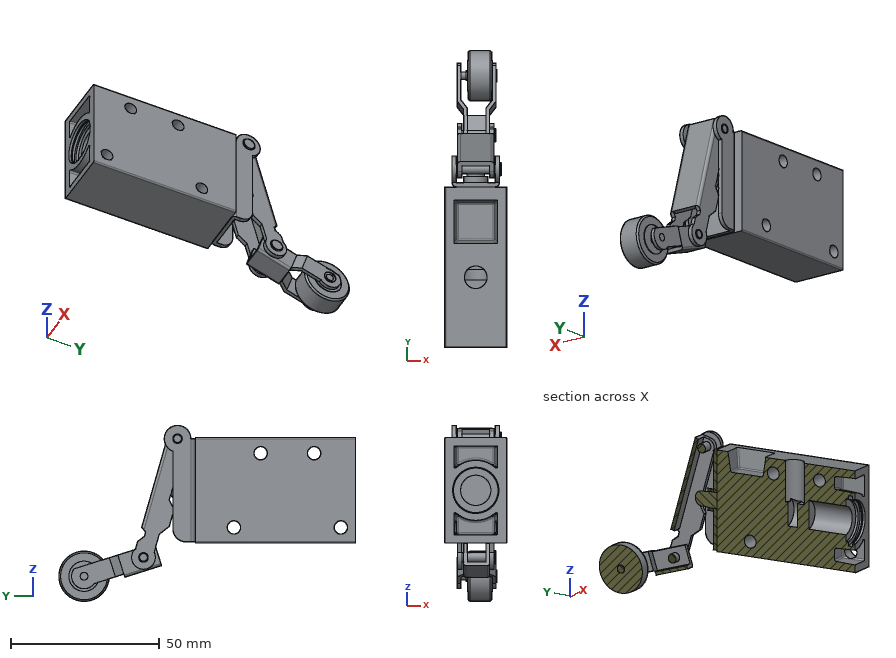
import cadquery as cq
import math


housing_width = 21.0
housing_length = 54.0
housing_height = 35.6
edge_radius = 0.5

bore_radius = 5.1
bore_depth = 18.0
mouth_radius = 7.8
mouth_depth = 0.9
seat_radius = 7.5
seat_depth = 3.5
groove_radius = 8.8
groove_start = 1.2
groove_width = 1.4

pocket_half_width = 7.4
front_pocket_depth = 8.0
top_pocket_depth = 7.0
pocket_side_inset = 1.1
pocket_wall_inset = 0.3
pocket_fillet = 0.5
front_pocket_edge = 15.0
bore_wall_radius = 10.1
top_pocket_center = 42.3
top_pocket_length = 14.6

port_radius = 3.8
port_center = 23.6
port_floor = 3.3
chamber_start = 22.6
chamber_length = 3.6

screw_radius = 2.2
screw_height = 12.5
screw_places = [
    (14.0, screw_height),
    (32.0, screw_height),
    (5.0, -screw_height),
    (41.0, -screw_height),
]

sheet = 1.5
bracket_half_width = 8.0
bracket_half_height = 17.4
bracket_corner_radius = 4.5
bracket_lug_radius = 4.5
cheek_depth = 6.1
base_rear = housing_length + sheet

pin_radius = 1.6
pin_chamfer = 0.3
pin_head_radius = 2.3
pin_head_height = 0.7
head_chamfer = 0.3

lever_angle = 16.0
lever_length = 41.6
lever_half_width = 6.2
lever_back = 3.4
lever_front = -3.0
lever_top = 2.7
lever_end_radius = 4.0
lever_web_end = 32.0
lever_bend_radius = 1.0

fork_angle = 17.6
fork_reach = 21.0
fork_center = 0.3
fork_sheet = 1.3
fork_neck_half_width = 4.4
fork_arm_half_width = 6.6
fork_inner_end = -5.0
fork_web_end = 8.0
fork_flare_length = 3.0
fork_half_height = 3.4
fork_web_bottom = -4.5
fork_bend_radius = 0.8
fork_eye_radius = 4.2

roller_radius = 8.5
roller_chamfer = 0.6
boss_radius = 5.1
boss_height = 0.2
hub_radius = 1.7
hub_height = 0.4
axle_radius = 1.3
axle_head_radius = 2.1
axle_head_height = 0.3
roller_left = -2.6

plunger_radius = 3.0
plunger_tip = 62.8
collar_radius = 4.1
collar_height = 2.1

upper_pivot = (base_rear + bracket_lug_radius, bracket_half_height)
lower_pivot = (
    upper_pivot[0] + lever_length * math.sin(math.radians(lever_angle)),
    upper_pivot[1] - lever_length * math.cos(math.radians(lever_angle)),
)
axle_center = (
    lower_pivot[0] + fork_reach * math.cos(math.radians(fork_angle)),
    lower_pivot[1] - fork_reach * math.sin(math.radians(fork_angle)),
)
fork_left = fork_center - fork_arm_half_width
fork_right = fork_center + fork_arm_half_width


def rod_x(radius, start, end, center):
    """Cylinder parallel to X between two X positions, centred at (Y, Z)."""
    plane = cq.Workplane("YZ", origin=(start, center[0], center[1]))
    return plane.circle(radius).extrude(end - start)


def rod_y(radius, start, end):
    """Cylinder on the bore axis between two Y positions."""
    plane = cq.Workplane("XZ", origin=(0, start, 0))
    return plane.circle(radius).extrude(start - end)


def box_between(low, high):
    """Box with two opposite corners given."""
    size = [b - a for a, b in zip(low, high)]
    return cq.Workplane("XY").box(*size, centered=False).translate(low)


def place(body, angle, center):
    """Turn a body about the X axis and move its origin to (Y, Z)."""
    return body.rotate((0, 0, 0), (1, 0, 0), angle).translate((0, center[0], center[1]))


def pocket_outline(plane, half_width, outer_edge, arc_radius):
    """Closed outline between a straight outer edge and an arc round the bore axis."""
    side_low = math.sqrt(arc_radius**2 - half_width**2)
    return (
        plane.moveTo(-half_width, side_low)
        .threePointArc((0, arc_radius), (half_width, side_low))
        .lineTo(half_width, outer_edge)
        .lineTo(-half_width, outer_edge)
        .close()
    )


def make_front_pocket():
    """Cutter for the pocket above the bore, one wall of which follows the bore."""
    rim = pocket_outline(cq.Workplane("XZ"), pocket_half_width, front_pocket_edge, bore_wall_radius)
    cutter = pocket_outline(
        rim.workplane(offset=-front_pocket_depth),
        pocket_half_width - pocket_side_inset,
        front_pocket_edge - pocket_wall_inset,
        bore_wall_radius + pocket_wall_inset,
    ).loft(ruled=True)
    return cutter.edges("not <Y").fillet(pocket_fillet)


def make_top_pocket():
    """Cutter for the square pocket in the top face."""
    length = top_pocket_length
    return (
        cq.Workplane("XY", origin=(0, top_pocket_center, housing_height / 2))
        .rect(2 * pocket_half_width, length)
        .workplane(offset=-top_pocket_depth)
        .rect(2 * (pocket_half_width - pocket_side_inset), length - 2 * pocket_side_inset)
        .loft(ruled=True)
        .edges("not >Z")
        .fillet(pocket_fillet)
    )


def make_housing():
    body = box_between(
        (-housing_width / 2, 0, -housing_height / 2),
        (housing_width / 2, housing_length, housing_height / 2),
    )
    body = body.edges("|Y").fillet(edge_radius)

    body = body.cut(rod_y(bore_radius, 0, bore_depth))
    body = body.cut(rod_y(seat_radius, 0, seat_depth))
    body = body.cut(rod_y(mouth_radius, 0, mouth_depth))
    body = body.cut(rod_y(groove_radius, groove_start, groove_start + groove_width))

    front_pocket = make_front_pocket()
    body = body.cut(front_pocket).cut(front_pocket.mirror("XY"))
    body = body.cut(make_top_pocket())

    port = cq.Workplane("XY", origin=(0, port_center, port_floor)).circle(port_radius).extrude(housing_height)
    body = body.cut(port)
    body = body.cut(rod_y(bore_radius, chamber_start, chamber_start + chamber_length))

    for screw_place in screw_places:
        body = body.cut(rod_x(screw_radius, -housing_width, housing_width, screw_place))
    return body


def make_bracket():
    """U-shaped sheet: a base against the housing and two cheeks with a lug at the top."""
    half_width = bracket_half_width
    blank = box_between(
        (-half_width, housing_length, -bracket_half_height),
        (half_width, housing_length + sheet + cheek_depth, bracket_half_height),
    )
    blank = blank.edges("|X and >Y and <Z").fillet(bracket_corner_radius)
    blank = blank.union(rod_x(bracket_lug_radius, -half_width, half_width, upper_pivot))
    blank = blank.edges("|Z and <Y").fillet(sheet)

    inside = half_width - sheet
    gap = box_between((-inside, base_rear, -housing_height), (inside, 2 * housing_length, housing_height))
    body = blank.cut(gap)
    body = body.cut(rod_x(pin_radius, -half_width, half_width, upper_pivot))
    return body.cut(rod_y(plunger_radius, housing_length, base_rear))


def make_lever():
    """Channel with cams on its flanges that narrows to two lugs round the lower pin."""
    outline = (
        cq.Workplane("YZ", origin=(-lever_half_width, 0, 0))
        .moveTo(lever_back, lever_top)
        .lineTo(0, lever_top)
        .radiusArc((lever_front, lever_top + lever_front), lever_front)
        .lineTo(lever_front, -20.6)
        .lineTo(-5.5, -23.2)
        .lineTo(-5.5, -29.2)
        .lineTo(lever_front, -32.6)
        .lineTo(lever_front, -lever_length)
        .lineTo(lever_back, -lever_length)
        .lineTo(lever_back, -37.0)
        .lineTo(1.7, -34.7)
        .lineTo(1.7, -33.2)
        .lineTo(lever_back, -lever_web_end)
        .close()
    )
    body = outline.extrude(2 * lever_half_width)
    back_face = cq.selectors.NearestToPointSelector((0, lever_back, -lever_web_end / 2))
    body = body.faces(back_face).edges("|Z").fillet(lever_bend_radius)
    body = body.union(rod_x(lever_end_radius, -lever_half_width, lever_half_width, (0, -lever_length)))

    inside = lever_half_width - sheet
    far = 2 * lever_length
    body = body.cut(box_between((-inside, -far, -far), (inside, lever_back - sheet, far)))
    body = body.cut(box_between((-inside, -far, -far), (inside, far, -lever_web_end)))

    for pin_height in (0, -lever_length):
        body = body.cut(rod_x(pin_radius, -lever_half_width, lever_half_width, (0, pin_height)))
    return place(body, lever_angle, upper_pivot)


def make_fork():
    """Channel round the lower pin whose flanges flare out into two arms with round eyes."""
    arm_end = fork_reach + fork_eye_radius
    flare_end = fork_web_end + fork_flare_length
    flare_angle = math.atan2(fork_arm_half_width - fork_neck_half_width, fork_flare_length)
    bend_shift = fork_sheet * math.tan(flare_angle / 2)
    neck_inside = fork_neck_half_width - fork_sheet
    arm_inside = fork_arm_half_width - fork_sheet
    strip = [
        (fork_neck_half_width, fork_inner_end),
        (fork_neck_half_width, fork_web_end),
        (fork_arm_half_width, flare_end),
        (fork_arm_half_width, arm_end),
        (arm_inside, arm_end),
        (arm_inside, flare_end + bend_shift),
        (neck_inside, fork_web_end + bend_shift),
        (neck_inside, fork_inner_end),
    ]
    height = fork_half_height - fork_web_bottom
    flange = cq.Workplane("XY", origin=(0, 0, fork_web_bottom)).polyline(strip).close().extrude(height)
    body = flange.union(flange.mirror("YZ"))
    body = body.union(
        box_between(
            (-fork_neck_half_width, fork_inner_end, fork_web_bottom),
            (fork_neck_half_width, fork_web_end, fork_web_bottom + fork_sheet),
        )
    )

    half = fork_arm_half_width
    side = box_between(
        (-half, fork_inner_end, fork_web_bottom),
        (half, fork_web_end, fork_half_height),
    )
    side = side.union(
        box_between((-half, fork_web_end, -fork_half_height), (half, fork_reach, fork_half_height))
    )
    side = side.union(rod_x(fork_eye_radius, -half, half, (fork_reach, 0)))
    body = body.intersect(side)
    body = body.faces("<Z").edges("|Y").fillet(fork_bend_radius)

    body = body.cut(rod_x(pin_radius, -half, half, (0, 0)))
    body = body.cut(rod_x(axle_radius, -half, half, (fork_reach, 0)))
    return place(body.translate((fork_center, 0, 0)), -fork_angle, lower_pivot)


def make_pin(half_length, center):
    """Headed pin parallel to X, flush on the -X side, with its head on the +X side."""
    shank = rod_x(pin_radius, -half_length, half_length, center).faces("<X").chamfer(pin_chamfer)
    head = rod_x(pin_head_radius, half_length, half_length + pin_head_height, center)
    return shank.union(head.edges().chamfer(head_chamfer))


def make_roller():
    boss_right = fork_right - fork_sheet
    roller_right = boss_right - boss_height
    body = rod_x(roller_radius, roller_left, roller_right, axle_center).edges().chamfer(roller_chamfer)
    body = body.union(rod_x(boss_radius, roller_left - boss_height, boss_right, axle_center))
    body = body.union(rod_x(hub_radius, roller_left - boss_height - hub_height, roller_left, axle_center))
    return body.cut(rod_x(axle_radius, fork_left, fork_right, axle_center))


def make_axle():
    shank = rod_x(axle_radius, fork_left, fork_right, axle_center)
    return shank.union(rod_x(axle_head_radius, fork_right, fork_right + axle_head_height, axle_center))


def make_collar():
    collar = rod_y(collar_radius, base_rear, base_rear + collar_height)
    return collar.cut(rod_y(plunger_radius, base_rear, base_rear + collar_height))


def make_plunger():
    """Round-ended plunger that passes through the collar and the bracket base."""
    plunger = rod_y(plunger_radius, housing_length, plunger_tip - plunger_radius)
    dome = cq.Workplane("XY").sphere(plunger_radius).translate((0, plunger_tip - plunger_radius, 0))
    return plunger.union(dome)


housing = make_housing()
bracket = make_bracket()
lever = make_lever()
fork = make_fork()
upper_pin = make_pin(bracket_half_width, upper_pivot)
lower_pin = make_pin(lever_half_width, lower_pivot)
roller = make_roller()
axle = make_axle()
collar = make_collar()
plunger = make_plunger()

bodies = [housing, bracket, lever, fork, upper_pin, lower_pin, roller, axle, collar, plunger]
result = cq.Compound.makeCompound([body.val() for body in bodies])